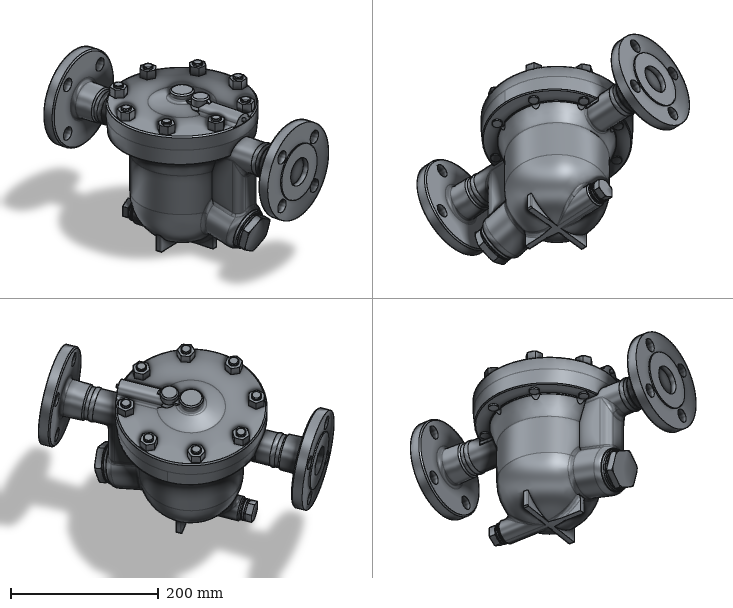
import math

import cadquery as cq


FACE_TO_FACE = 380.0
PIPE_MID_X = 7.0
BOTTOM_Z = -160.0

POT_R = 71.0
DOME_CENTRE_Z = BOTTOM_Z + POT_R
NECK_START_Z = -29.7
NECK_TOP_R = 81.0
NECK_COLLAR_BOTTOM_Z = 0.4
FLANGE_BOTTOM_Z = 2.5
SEAM_Z = 26.2
BODY_FLANGE_END_RX = 100.0
BODY_FLANGE_CHAMFER = 1.5

COVER_R = 103.0
COVER_TOP_Z = 46.7
COVER_CHAMFER = 2.0
CROWN_R = 46.5
CROWN_SLOPE = 14.0
CROWN_FILLET = 6.0
PLUG_TOP_Z = 65.5
CENTRE_PLUG_R = 16.5
SIDE_PLUG_X = 31.0
SIDE_PLUG_R = 12.5
SIDE_PLUG_FOOT_R = 15.5
SIDE_PLUG_FOOT_Z = 50.0
SIDE_PLUG_FOOT_RISE = 3.5
SIDE_PLUG_LUG_WIDTH = 6.0
SIDE_PLUG_LUG_REACH = 4.0
BRIDGE_WIDTH = 19.0
BRIDGE_TOP_Z = 57.0

CHANNEL_R = 14.5
CHANNEL_TOP_Z = 59.3
CHANNEL_FOOT_HALF_WIDTH = 19.0
CHANNEL_END_X = 102.5
PIN_D = 6.0
PIN_Z = 51.0
PIN_END_X = 106.3
PIN_ROUND = 1.5

STUD_COUNT = 8
STUD_CIRCLE_R = 88.8
STUD_FIRST_ANGLE = 180.0 / STUD_COUNT
STUD_D = 14.0
STUD_TOP_Z = 62.9
STUD_BOTTOM_Z = 0.0
STUD_CHAMFER = 1.2
NUT_ACROSS_FLATS = 21.0
NUT_TOP_Z = 59.3
NUT_CHAMFER = 0.8
SPOT_FACE_D = 21.0
SPOT_FACE_DEPTH = 15.0

PIPE_R = 23.0
PIPE_FLANGE_R = 70.0
PIPE_FLANGE_BACK = 18.0
PIPE_FLANGE_CHAMFER = 2.0
RAISED_FACE_R = 40.5
RAISED_FACE_HEIGHT = 2.0
HUB_LARGE_R = 25.8
HUB_SMALL_R = 25.0
HUB_ROOT_LENGTH = 5.0
HUB_END = 49.0
HUB_BEVEL_LENGTH = 2.5
WELD_START = 57.0
WELD_END = 64.0
WELD_HEIGHT = 1.2
BORE_D = 40.0
BORE_DEPTH = 8.0
BOLT_HOLE_D = 19.0
BOLT_CIRCLE_D = 105.0
BOLT_COUNT = 4
BOLT_FIRST_ANGLE = 45
INLET_FILLET = 3.0
INLET_PAD_OUTER_X = -99.0
INLET_PAD_HALF_WIDTH = 24.0
INLET_PAD_BOTTOM_Z = -2.3

WEB_START_X = 60.0
WEB_END_X = 114.0
WEB_SIDE_INSET = 0.2
WEB_HALF_WIDTH = PIPE_R - WEB_SIDE_INSET
WEB_CORNER_R = 12.5
WEB_PIPE_FILLET = 8.0
WEB_TOE_ABOVE_AXIS = 20.0

STRAINER_ANGLE = 15.0
STRAINER_AXIS_Z = -83.9
STRAINER_BOSS_R = 34.0
STRAINER_FACE_R = 30.0
STRAINER_ROUND_START = 104.0
STRAINER_FACE = 113.0
STRAINER_FILLET = 7.0
STRAINER_CAP_R = 29.0
STRAINER_CAP_END = 118.3
STRAINER_CAP_CHAMFER = 1.4
STRAINER_CAP_NECK_R = 26.5
STRAINER_HEX_START = 120.8
STRAINER_HEX_END = 131.0
STRAINER_HEX_FLATS = 49.5
STRAINER_HEX_CHAMFER = 2.0

DRAIN_R = 17.0
DRAIN_AXIS_Z = BOTTOM_Z + DRAIN_R
DRAIN_FILLET = 5.0
DRAIN_OVERHANG = 0.3
DRAIN_FACE_X = -71.0
DRAIN_BEVEL = 2.0
DRAIN_CAP_END_X = -79.0
DRAIN_GROOVE_X = -75.5
DRAIN_GROOVE_WIDTH = 1.0
DRAIN_GROOVE_R = 14.0
DRAIN_CAP_NECK_R = 13.5
DRAIN_HEX_START_X = -81.0
DRAIN_HEX_END_X = -90.5
DRAIN_HEX_CORNERS = 30.0
DRAIN_HEX_CHAMFER = 1.0
FIN_REACH = 55.0
FIN_THICKNESS = 8.0
FIN_CORNER = 2.0
FIN_EDGE_ROUND = 1.2
FIN_FILLET = 6.0

TOUCH_TOLERANCE = 0.001


def cylinder_z(radius, bottom, top, x=0.0, y=0.0):
    """Upright cylinder between two heights."""
    return cq.Workplane("XY").workplane(offset=bottom).center(x, y).circle(radius).extrude(top - bottom)


def chamfered_hex(corner_diameter, length, chamfer, turn=0.0):
    """Hexagon prism along +Z from the origin, its far corners turned down by a cone."""
    corner_r = corner_diameter / 2
    prism = cq.Workplane("XY").polygon(6, corner_diameter).extrude(length)
    turned = cq.Workplane("XY").circle(corner_r).extrude(length).faces(">Z").chamfer(chamfer / 2, chamfer)
    return prism.intersect(turned).rotate((0, 0, 0), (0, 0, 1), turn)


def hex_corners(across_flats):
    """Diameter across the corners of a hexagon."""
    return across_flats / math.cos(math.radians(30))


def strainer_frame(distance):
    """Workplane across the strainer axis, with local X along global +Y."""
    slope = math.radians(STRAINER_ANGLE)
    direction = (math.cos(slope), 0, -math.sin(slope))
    origin = (distance * direction[0], 0, STRAINER_AXIS_Z + distance * direction[2])
    return cq.Plane(origin=origin, xDir=(0, 1, 0), normal=direction)


def lies_on(point, solid):
    """Whether a point touches any face of a solid."""
    vertex = cq.Vertex.makeVertex(*point.toTuple())
    return min(face.distance(vertex) for face in solid.faces().vals()) < TOUCH_TOLERANCE


def blend(base, addition, radius, shortest_edge=0.0, from_x=-FACE_TO_FACE):
    """Union of two solids with a fillet where their surfaces meet.

    Junction edges no longer than shortest_edge, or not beyond from_x, stay sharp.
    """
    joined = base.union(addition)
    junction = []
    for edge in joined.edges().vals():
        middle = edge.positionAt(0.5)
        wanted = edge.Length() > shortest_edge and middle.x > from_x + TOUCH_TOLERANCE
        if wanted and lies_on(middle, base) and lies_on(middle, addition):
            junction.append(edge)
    return cq.Workplane(joined.val().fillet(radius, junction))


def make_pot():
    """Solid pot from the dome up to the cover seam."""
    dome_side = POT_R * math.sqrt(0.5)
    profile = (
        cq.Workplane("XZ")
        .moveTo(0, BOTTOM_Z)
        .threePointArc((dome_side, DOME_CENTRE_Z - dome_side), (POT_R, DOME_CENTRE_Z))
        .lineTo(POT_R, NECK_START_Z)
        .lineTo(NECK_TOP_R, FLANGE_BOTTOM_Z)
        .lineTo(NECK_TOP_R, SEAM_Z)
        .lineTo(0, SEAM_Z)
        .close()
    )
    return profile.revolve(360, (0, 0, 0), (0, 1, 0))


def make_cross_fin():
    """Upright base fin across the pot, its top corners meeting the dome."""
    height = DOME_CENTRE_Z - math.sqrt(POT_R**2 - FIN_REACH**2) - BOTTOM_Z
    fin = (
        cq.Workplane("XY")
        .box(FIN_THICKNESS, 2 * FIN_REACH, height, centered=(True, True, False))
        .edges("|X and <Z")
        .chamfer(FIN_CORNER)
        .edges("|Z")
        .fillet(FIN_EDGE_ROUND)
    )
    return fin.translate((0, 0, BOTTOM_Z))


def base_slice(start_x, end_x):
    """Block holding the lower part of the pot between two X positions."""
    block = cq.Workplane("XY").box(
        end_x - start_x, 2 * POT_R, DOME_CENTRE_Z - BOTTOM_Z, centered=(False, True, False)
    )
    return block.translate((start_x, 0, BOTTOM_Z))


def make_side_fin(pot):
    """Base fin towards +X with fillets to the dome.

    It is blended as a plate deeper and longer than the dome, then cut back to its own size.
    """
    plate = cq.Workplane("XY").box(2 * POT_R, FIN_THICKNESS, POT_R)
    plate = plate.translate((0, 0, BOTTOM_Z))
    blended = blend(pot, plate, FIN_FILLET, shortest_edge=2 * FIN_THICKNESS)
    return blended.intersect(base_slice(0, FIN_REACH))


def make_web():
    """Web under the outlet pipe; its lower edge slopes with the strainer boss it stands in."""
    slope = math.radians(STRAINER_ANGLE)
    toe_z = STRAINER_AXIS_Z + WEB_TOE_ABOVE_AXIS / math.cos(slope)
    outline = cq.Workplane("XZ").polyline(
        [
            (WEB_START_X, 0),
            (WEB_END_X, 0),
            (WEB_END_X, toe_z - WEB_END_X * math.tan(slope)),
            (WEB_START_X, toe_z - WEB_START_X * math.tan(slope)),
        ]
    )
    web = outline.close().extrude(WEB_HALF_WIDTH, both=True)
    return web.edges("|Z and >X").fillet(WEB_CORNER_R)


def make_strainer_boss():
    """Sloping boss whose outer end is turned in by an arc tangent to its side."""
    length = STRAINER_FACE - STRAINER_ROUND_START
    inset = STRAINER_BOSS_R - STRAINER_FACE_R
    round_r = (length**2 + inset**2) / (2 * inset)
    half_sweep = math.asin(length / round_r) / 2
    profile = (
        cq.Workplane("XY")
        .lineTo(STRAINER_BOSS_R, 0)
        .lineTo(STRAINER_BOSS_R, STRAINER_ROUND_START)
        .threePointArc(
            (
                STRAINER_BOSS_R - round_r * (1 - math.cos(half_sweep)),
                STRAINER_ROUND_START + round_r * math.sin(half_sweep),
            ),
            (STRAINER_FACE_R, STRAINER_FACE),
        )
        .lineTo(0, STRAINER_FACE)
        .close()
    )
    boss = profile.revolve(360, (0, 0, 0), (0, 1, 0)).rotate((0, 0, 0), (1, 0, 0), 90)
    return cq.Workplane(boss.val().moved(cq.Location(strainer_frame(0))))


def make_strainer_plug():
    """Chamfered cap, neck and hexagon head on the strainer boss."""
    cap = cq.Workplane(strainer_frame(STRAINER_FACE)).circle(STRAINER_CAP_R)
    cap = cap.extrude(STRAINER_CAP_END - STRAINER_FACE)
    outer_face = cq.selectors.DirectionMinMaxSelector(strainer_frame(0).zDir)
    cap = cap.faces(outer_face).chamfer(STRAINER_CAP_CHAMFER)
    neck = cq.Workplane(strainer_frame(STRAINER_FACE)).circle(STRAINER_CAP_NECK_R)
    neck = neck.extrude(STRAINER_HEX_START - STRAINER_FACE)
    head = chamfered_hex(
        hex_corners(STRAINER_HEX_FLATS),
        STRAINER_HEX_END - STRAINER_HEX_START,
        STRAINER_HEX_CHAMFER,
        turn=90,
    )
    head = cq.Workplane(head.val().moved(cq.Location(strainer_frame(STRAINER_HEX_START))))
    return cap.union(neck).union(head)


def make_drain_boss(pot):
    """Drain boss towards -X with a fillet to the dome.

    It is blended as a bar passing just below the dome, so the fillet has no tangent end,
    then cut back to the base plane.
    """
    bar = (
        cq.Workplane("YZ")
        .workplane(offset=DRAIN_FACE_X)
        .center(0, DRAIN_AXIS_Z - DRAIN_OVERHANG)
        .circle(DRAIN_R)
        .extrude(-2 * DRAIN_FACE_X)
    )
    return blend(pot, bar, DRAIN_FILLET).intersect(base_slice(DRAIN_FACE_X, 0))


def make_drain_plug():
    """Bevelled shoulder, grooved cap, neck and hexagon head, pointing to -X."""
    cap_r = DRAIN_R - DRAIN_BEVEL
    groove_start = DRAIN_GROOVE_X + DRAIN_GROOVE_WIDTH / 2
    groove_end = DRAIN_GROOVE_X - DRAIN_GROOVE_WIDTH / 2
    profile = cq.Workplane("XY").polyline(
        [
            (DRAIN_FACE_X, 0),
            (DRAIN_FACE_X, DRAIN_R),
            (DRAIN_FACE_X - DRAIN_BEVEL, cap_r),
            (groove_start, cap_r),
            (groove_start, DRAIN_GROOVE_R),
            (groove_end, DRAIN_GROOVE_R),
            (groove_end, cap_r),
            (DRAIN_CAP_END_X, cap_r),
            (DRAIN_CAP_END_X, DRAIN_CAP_NECK_R),
            (DRAIN_HEX_START_X, DRAIN_CAP_NECK_R),
            (DRAIN_HEX_START_X, 0),
        ]
    ).close()
    cap = profile.revolve(360, (0, 0, 0), (1, 0, 0)).translate((0, 0, DRAIN_AXIS_Z))
    head = chamfered_hex(DRAIN_HEX_CORNERS, DRAIN_HEX_START_X - DRAIN_HEX_END_X, DRAIN_HEX_CHAMFER)
    head = head.rotate((0, 0, 0), (0, 1, 0), -90).translate((DRAIN_HEX_START_X, 0, DRAIN_AXIS_Z))
    return cap.union(head)


def make_pipe_end():
    """Flanged half pipe from X = 0 to a raised face at -X, with a shallow blind bore."""
    half = FACE_TO_FACE / 2
    hub_root = PIPE_FLANGE_BACK + HUB_ROOT_LENGTH
    root_r = HUB_LARGE_R + HUB_ROOT_LENGTH
    root_mid = HUB_ROOT_LENGTH * (1 - math.sqrt(0.5))
    profile = (
        cq.Workplane("XY")
        .lineTo(0, RAISED_FACE_R)
        .lineTo(RAISED_FACE_HEIGHT, RAISED_FACE_R)
        .lineTo(RAISED_FACE_HEIGHT, PIPE_FLANGE_R)
        .lineTo(PIPE_FLANGE_BACK - PIPE_FLANGE_CHAMFER, PIPE_FLANGE_R)
        .lineTo(PIPE_FLANGE_BACK, PIPE_FLANGE_R - PIPE_FLANGE_CHAMFER)
        .lineTo(PIPE_FLANGE_BACK, root_r)
        .threePointArc((PIPE_FLANGE_BACK + root_mid, HUB_LARGE_R + root_mid), (hub_root, HUB_LARGE_R))
        .lineTo(HUB_END, HUB_SMALL_R)
        .lineTo(HUB_END + HUB_BEVEL_LENGTH, PIPE_R)
        .lineTo(WELD_START, PIPE_R)
        .threePointArc(((WELD_START + WELD_END) / 2, PIPE_R + WELD_HEIGHT), (WELD_END, PIPE_R))
        .lineTo(half, PIPE_R)
        .lineTo(half, 0)
        .close()
    )
    pipe = profile.revolve(360, (0, 0, 0), (1, 0, 0))
    bore = cq.Workplane("YZ").circle(BORE_D / 2).extrude(BORE_DEPTH)
    bolt_holes = (
        cq.Workplane("YZ")
        .polarArray(BOLT_CIRCLE_D / 2, BOLT_FIRST_ANGLE, 360, BOLT_COUNT)
        .circle(BOLT_HOLE_D / 2)
        .extrude(PIPE_FLANGE_BACK)
    )
    return pipe.cut(bore).cut(bolt_holes).translate((-half, 0, 0))


def make_body_flange():
    """Flange whose round top edge narrows slightly in X towards its lower face."""
    end_rx = BODY_FLANGE_END_RX - BODY_FLANGE_CHAMFER
    end_ry = COVER_R - BODY_FLANGE_CHAMFER
    side = (
        cq.Workplane("XY")
        .workplane(offset=SEAM_Z)
        .circle(COVER_R)
        .workplane(offset=FLANGE_BOTTOM_Z + BODY_FLANGE_CHAMFER - SEAM_Z)
        .ellipse(BODY_FLANGE_END_RX, COVER_R)
        .loft(ruled=True)
    )
    bevel = (
        cq.Workplane("XY")
        .workplane(offset=FLANGE_BOTTOM_Z + BODY_FLANGE_CHAMFER)
        .ellipse(BODY_FLANGE_END_RX, COVER_R)
        .workplane(offset=-BODY_FLANGE_CHAMFER)
        .ellipse(end_rx, end_ry)
        .loft(ruled=True)
    )
    return side.union(bevel)


def make_inlet_pad():
    """Flat pad joining the inlet pipe to the underside of the body flange."""
    height = FLANGE_BOTTOM_Z + BODY_FLANGE_CHAMFER - INLET_PAD_BOTTOM_Z
    pad = cq.Workplane("XY").box(
        -INLET_PAD_OUTER_X, 2 * INLET_PAD_HALF_WIDTH, height, centered=(False, True, False)
    )
    return pad.translate((INLET_PAD_OUTER_X, 0, INLET_PAD_BOTTOM_Z))


def make_cover():
    """Disc with a conical crown, and a central plug joined to it by a tangent fillet."""
    slope = math.radians(CROWN_SLOPE)
    crown_top_r = CENTRE_PLUG_R + CROWN_FILLET * (1 - math.sin(slope))
    crown_top_z = COVER_TOP_Z + (CROWN_R - crown_top_r) * math.tan(slope)
    fillet_r = CENTRE_PLUG_R + CROWN_FILLET
    fillet_z = crown_top_z + CROWN_FILLET * math.cos(slope)
    half_sweep = math.radians(90 - CROWN_SLOPE) / 2
    profile = (
        cq.Workplane("XZ")
        .moveTo(0, SEAM_Z)
        .lineTo(COVER_R, SEAM_Z)
        .lineTo(COVER_R, COVER_TOP_Z - COVER_CHAMFER)
        .lineTo(COVER_R - COVER_CHAMFER, COVER_TOP_Z)
        .lineTo(CROWN_R, COVER_TOP_Z)
        .lineTo(crown_top_r, crown_top_z)
        .threePointArc(
            (
                fillet_r - CROWN_FILLET * math.cos(half_sweep),
                fillet_z - CROWN_FILLET * math.sin(half_sweep),
            ),
            (CENTRE_PLUG_R, fillet_z),
        )
        .lineTo(CENTRE_PLUG_R, PLUG_TOP_Z - COVER_CHAMFER)
        .lineTo(CENTRE_PLUG_R - COVER_CHAMFER, PLUG_TOP_Z)
        .lineTo(0, PLUG_TOP_Z)
        .close()
    )
    return profile.revolve(360, (0, 0, 0), (0, 1, 0))


def make_channel():
    """Half-round channel with flared feet, trimmed to the cover rim, with an end pin."""
    centre_z = CHANNEL_TOP_Z - CHANNEL_R
    cover_height = COVER_TOP_Z - centre_z
    foot_r = (CHANNEL_FOOT_HALF_WIDTH**2 + cover_height**2 - CHANNEL_R**2) / (2 * (CHANNEL_R - cover_height))
    foot_centre_z = COVER_TOP_Z + foot_r
    lean = math.atan2(foot_centre_z - centre_z, CHANNEL_FOOT_HALF_WIDTH)
    side_y = CHANNEL_R * math.cos(lean)
    side_z = centre_z + CHANNEL_R * math.sin(lean)
    half_sweep = (math.pi / 2 - lean) / 2
    foot_mid_y = CHANNEL_FOOT_HALF_WIDTH - foot_r * math.sin(half_sweep)
    foot_mid_z = foot_centre_z - foot_r * math.cos(half_sweep)
    profile = (
        cq.Workplane("YZ")
        .workplane(offset=SIDE_PLUG_X)
        .moveTo(-CHANNEL_FOOT_HALF_WIDTH, SEAM_Z)
        .lineTo(-CHANNEL_FOOT_HALF_WIDTH, COVER_TOP_Z)
        .threePointArc((-foot_mid_y, foot_mid_z), (-side_y, side_z))
        .threePointArc((0, CHANNEL_TOP_Z), (side_y, side_z))
        .threePointArc((foot_mid_y, foot_mid_z), (CHANNEL_FOOT_HALF_WIDTH, COVER_TOP_Z))
        .lineTo(CHANNEL_FOOT_HALF_WIDTH, SEAM_Z)
        .close()
    )
    channel = profile.extrude(COVER_R).intersect(cylinder_z(CHANNEL_END_X, SEAM_Z, CHANNEL_TOP_Z))
    pin = (
        cq.Workplane("YZ")
        .workplane(offset=SIDE_PLUG_X)
        .center(0, PIN_Z)
        .circle(PIN_D / 2)
        .extrude(PIN_END_X - SIDE_PLUG_X)
        .faces(">X")
        .edges()
        .fillet(PIN_ROUND)
    )
    return channel.union(pin)


def make_side_plug():
    """Round plug at the start of the channel, with a flared foot and a lug on the channel top."""
    profile = cq.Workplane("XZ").polyline(
        [
            (0, COVER_TOP_Z),
            (SIDE_PLUG_FOOT_R, COVER_TOP_Z),
            (SIDE_PLUG_FOOT_R, SIDE_PLUG_FOOT_Z),
            (SIDE_PLUG_R, SIDE_PLUG_FOOT_Z + SIDE_PLUG_FOOT_RISE),
            (SIDE_PLUG_R, PLUG_TOP_Z - COVER_CHAMFER),
            (SIDE_PLUG_R - COVER_CHAMFER, PLUG_TOP_Z),
            (0, PLUG_TOP_Z),
        ]
    )
    plug = profile.close().revolve(360, (0, 0, 0), (0, 1, 0))
    lug_end = SIDE_PLUG_R + SIDE_PLUG_LUG_REACH
    lug = cq.Workplane("XZ").polyline(
        [
            (0, CHANNEL_TOP_Z + SIDE_PLUG_LUG_REACH),
            (SIDE_PLUG_R, CHANNEL_TOP_Z + SIDE_PLUG_LUG_REACH),
            (lug_end, CHANNEL_TOP_Z),
            (lug_end, COVER_TOP_Z),
            (0, COVER_TOP_Z),
        ]
    )
    lug = lug.close().extrude(SIDE_PLUG_LUG_WIDTH / 2, both=True)
    return plug.union(lug).translate((SIDE_PLUG_X, 0, 0))


def make_bridge():
    """Low block joining the side plug to the central plug."""
    bridge = cq.Workplane("XY").box(
        SIDE_PLUG_X, BRIDGE_WIDTH, BRIDGE_TOP_Z - COVER_TOP_Z, centered=(False, True, False)
    )
    return bridge.translate((0, 0, COVER_TOP_Z))


def stud_positions():
    """Angle, X and Y of each cover stud."""
    step = 360 / STUD_COUNT
    for index in range(STUD_COUNT):
        angle = STUD_FIRST_ANGLE + index * step
        x = STUD_CIRCLE_R * math.cos(math.radians(angle))
        y = STUD_CIRCLE_R * math.sin(math.radians(angle))
        yield angle, x, y


def make_stud_and_nut(angle, x, y):
    """Stud through cover and flange, with its nut on the cover."""
    stud = cylinder_z(STUD_D / 2, STUD_BOTTOM_Z, STUD_TOP_Z, x, y)
    stud = stud.faces(">Z").edges().chamfer(STUD_CHAMFER)
    nut = chamfered_hex(
        hex_corners(NUT_ACROSS_FLATS),
        NUT_TOP_Z - COVER_TOP_Z,
        NUT_CHAMFER,
        turn=angle + STUD_FIRST_ANGLE,
    )
    return stud.union(nut.translate((x, y, COVER_TOP_Z)))


def make_casting():
    """Pot with its pipes, web, strainer and drain bosses, base fins and flange."""
    pot = make_pot()
    pipe_end = make_pipe_end()
    inlet = pipe_end.translate((PIPE_MID_X, 0, 0))
    outlet = pipe_end.rotate((0, 0, 0), (0, 0, 1), 180).translate((PIPE_MID_X, 0, 0))
    outlet_and_web = blend(outlet, make_web(), WEB_PIPE_FILLET, from_x=WEB_START_X)
    casting = blend(pot, inlet, INLET_FILLET).union(outlet_and_web)
    casting = blend(casting, make_strainer_boss(), STRAINER_FILLET)
    casting = casting.union(make_drain_boss(pot)).union(make_side_fin(pot)).union(make_cross_fin())
    casting = casting.union(make_body_flange()).union(make_inlet_pad())
    casting = casting.union(cylinder_z(NECK_TOP_R, NECK_COLLAR_BOTTOM_Z, FLANGE_BOTTOM_Z))
    for _, x, y in stud_positions():
        spot_face = cylinder_z(SPOT_FACE_D / 2, FLANGE_BOTTOM_Z - SPOT_FACE_DEPTH, FLANGE_BOTTOM_Z, x, y)
        casting = casting.cut(spot_face)
    return casting


def make_cover_assembly():
    """Cover with its channel, bridge and side plug."""
    cover = make_cover().union(make_channel()).union(make_bridge())
    return cover.union(make_side_plug())


result = make_casting().union(make_cover_assembly())
result = result.union(make_strainer_plug()).union(make_drain_plug())
for stud_angle, stud_x, stud_y in stud_positions():
    result = result.union(make_stud_and_nut(stud_angle, stud_x, stud_y))